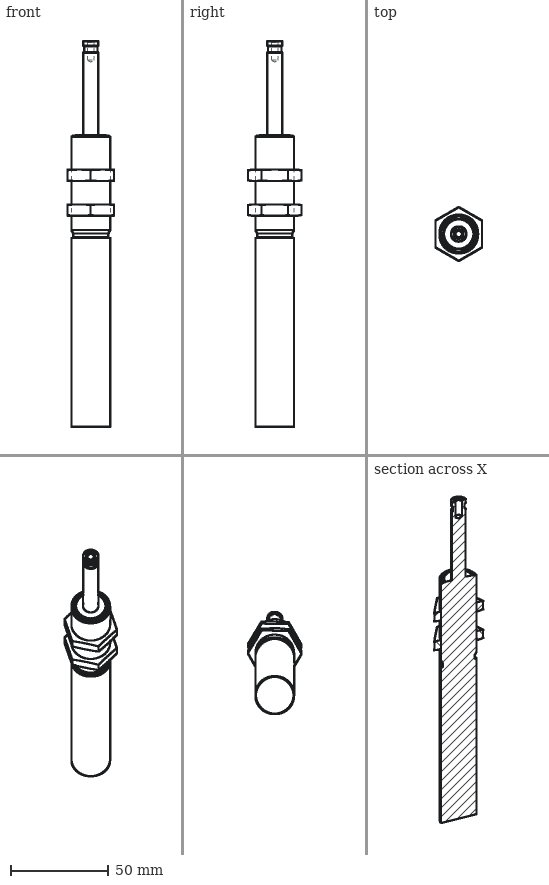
import cadquery as cq
import math

total_length = 198.5

half_side_angle = 30.0

housing_diameter = 20.0
housing_top = 150.0
edge_diameter = 18.5
edge_chamfer = (housing_diameter - edge_diameter) / 2
groove_bottom = 97.3
groove_top = 101.3
groove_diameter = 18.0
groove_corner_bevel = 0.4
groove_taper_height = 1.8
bottom_chamfer = 0.4

collar_base_diameter = 16.0
collar_top_diameter = 15.0
collar_height = 0.2

rod_diameter = 8.0
neck_diameter = 7.0
neck_bottom = 192.5
neck_top = 196.2
head_chamfer = 0.2
socket_diameter = 3.4
socket_depth = 10.0
socket_point_angle = 118.0
countersink_diameter = 5.0

nut_across_flats = 24.0
nut_height = 6.0
nut_chamfer_diameter = 23.2
nut_chamfer_angle = 10.0
lower_nut_bottom = 108.6
upper_nut_bottom = 126.5


def revolve_profile(points):
    """Solid of revolution about Z from (radius, height) points."""
    return cq.Workplane("XZ").polyline(points).close().revolve(360, (0, 0), (0, 1))


def make_absorber():
    """Turned housing and piston rod, with a blind socket in the rod end."""
    housing_radius = housing_diameter / 2
    groove_radius = groove_diameter / 2
    rod_radius = rod_diameter / 2
    neck_radius = neck_diameter / 2
    collar_top = housing_top + collar_height
    neck_taper = rod_radius - neck_radius
    half_profile = [
        (0, 0),
        (housing_radius - bottom_chamfer, 0),
        (housing_radius, bottom_chamfer),
        (housing_radius, groove_bottom),
        (groove_radius + groove_corner_bevel, groove_bottom),
        (groove_radius, groove_bottom + groove_corner_bevel),
        (groove_radius, groove_top - groove_taper_height),
        (housing_radius, groove_top),
        (housing_radius, housing_top - edge_chamfer),
        (edge_diameter / 2, housing_top),
        (collar_base_diameter / 2, housing_top),
        (collar_top_diameter / 2, collar_top),
        (rod_radius, collar_top),
        (rod_radius, neck_bottom),
        (neck_radius, neck_bottom + neck_taper),
        (neck_radius, neck_top - neck_taper),
        (rod_radius, neck_top),
        (rod_radius, total_length - head_chamfer),
        (rod_radius - head_chamfer, total_length),
        (0, total_length),
    ]
    body = revolve_profile(half_profile)
    socket_radius = socket_diameter / 2
    countersink_radius = countersink_diameter / 2
    point_height = socket_radius / math.tan(math.radians(socket_point_angle / 2))
    socket_profile = [
        (0, total_length - socket_depth - point_height),
        (socket_radius, total_length - socket_depth),
        (socket_radius, total_length - (countersink_radius - socket_radius)),
        (countersink_radius, total_length),
        (0, total_length),
    ]
    socket = revolve_profile(socket_profile)
    return body.cut(socket)


def make_nut(bottom):
    """Hexagonal nut around the housing, with shallow conical chamfers on both faces."""
    corner_radius = nut_across_flats / 2 / math.cos(math.radians(half_side_angle))
    face_radius = nut_chamfer_diameter / 2
    chamfer_height = (corner_radius - face_radius) * math.tan(math.radians(nut_chamfer_angle))
    hexagon = (
        cq.Workplane("XY")
        .polygon(6, 2 * corner_radius)
        .extrude(nut_height)
        .rotate((0, 0, 0), (0, 0, 1), half_side_angle)
    )
    chamfer_envelope = revolve_profile([
        (0, 0),
        (face_radius, 0),
        (corner_radius, chamfer_height),
        (corner_radius, nut_height - chamfer_height),
        (face_radius, nut_height),
        (0, nut_height),
    ])
    bore = cq.Workplane("XY").circle(housing_diameter / 2).extrude(nut_height)
    return hexagon.intersect(chamfer_envelope).cut(bore).translate((0, 0, bottom))


absorber = make_absorber()
nuts = [make_nut(bottom) for bottom in (lower_nut_bottom, upper_nut_bottom)]

result = cq.Compound.makeCompound([absorber.val(), *[nut.val() for nut in nuts]])